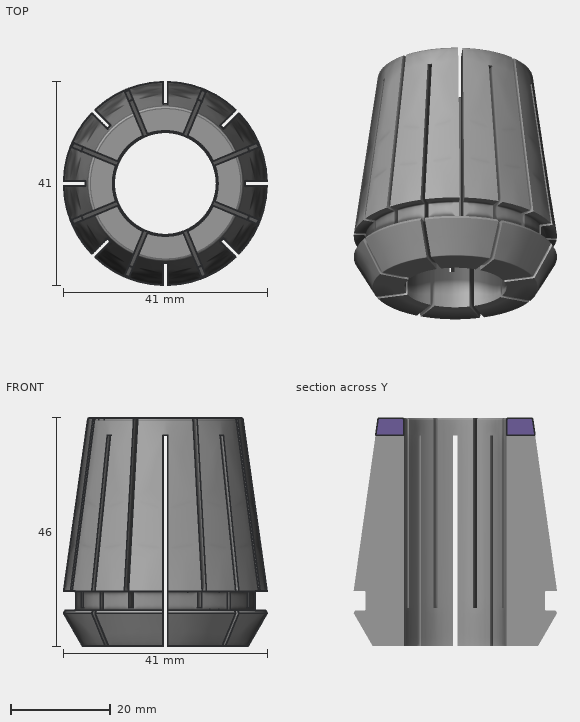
import cadquery as cq
import math

total_length = 46.0
max_radius = 20.5
bore_radius = 20.64 / 2

taper_angle = math.radians(8)
taper_start_z = 11.1
neck_radius = 18.1
flange_top_z = 7.2
nut_cone_angle = math.radians(30)

top_edge_radius = 0.5
bore_chamfer = 0.3
neck_fillet = 0.2
bottom_edge_radius = 0.2

slots_per_set = 8
slot_pitch = 360 / slots_per_set
slot_width = 0.93
lower_slot_end_z = 42.45
upper_slot_end_z = 7.7
slot_overrun = 1.0

rim_bevel_height = 0.55
rim_widest_z = flange_top_z - rim_bevel_height
rim_top_radius = max_radius - rim_bevel_height * math.tan(nut_cone_angle)

bottom_radius = max_radius - rim_widest_z * math.tan(nut_cone_angle)
top_radius = max_radius - (total_length - taper_start_z) * math.tan(taper_angle)


def collet_body():
    """Revolve the half section, then round the outer end edges and chamfer the bore mouth."""
    section = (
        cq.Workplane("XZ")
        .moveTo(bore_radius, 0)
        .lineTo(bottom_radius, 0)
        .lineTo(max_radius, rim_widest_z)
        .lineTo(rim_top_radius, flange_top_z)
        .lineTo(neck_radius + neck_fillet, flange_top_z)
        .radiusArc((neck_radius, flange_top_z + neck_fillet), neck_fillet)
        .lineTo(neck_radius, taper_start_z - neck_fillet)
        .radiusArc((neck_radius + neck_fillet, taper_start_z), neck_fillet)
        .lineTo(max_radius, taper_start_z)
        .lineTo(top_radius, total_length)
        .lineTo(bore_radius, total_length)
        .close()
    )
    body = section.revolve(360, (0, 0, 0), (0, 1, 0))
    body = body.faces("<Z").edges(cq.selectors.RadiusNthSelector(1)).fillet(bottom_edge_radius)
    body = body.faces(">Z").edges(cq.selectors.RadiusNthSelector(1)).fillet(top_edge_radius)
    return body.faces(">Z").edges(cq.selectors.RadiusNthSelector(0)).chamfer(bore_chamfer)


def cut_slots(body, first_angle, bottom_z, top_z):
    """Cut one evenly spaced set of radial slots from the bore outward."""
    slot_length = max_radius + slot_overrun
    slot = cq.Workplane("XY").box(
        slot_length, slot_width, top_z - bottom_z, centered=(False, True, False)
    )
    slot = slot.translate((0, 0, bottom_z))
    for index in range(slots_per_set):
        angle = first_angle + index * slot_pitch
        body = body.cut(slot.rotate((0, 0, 0), (0, 0, 1), angle))
    return body


collet = collet_body()
collet = cut_slots(collet, 0, -slot_overrun, lower_slot_end_z)
result = cut_slots(collet, slot_pitch / 2, upper_slot_end_z, total_length + slot_overrun)